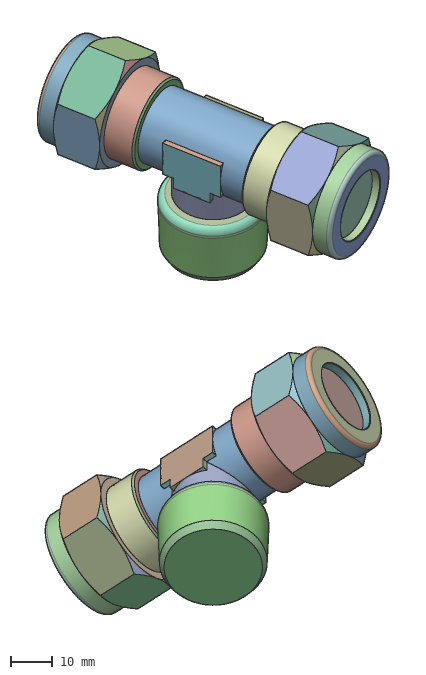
import cadquery as cq
import math

run_length = 82.0
tube_radius = 10.0
shoulder_radius = 12.0
shoulder_end = 14.9
shoulder_chamfer = 0.5

nut_sides = 6
nut_flats = 28.0
nut_inner_end = 23.2
nut_collar_length = 4.9
nut_collar_fillet = 1.1
nut_chamfer_angle = 30.0
recess_radius = 9.1
recess_depth = 2.2
recess_mouth_chamfer = 0.2

branch_end = 32.55
plug_top = 14.6
plug_radius = 13.3
plug_rim_inner_radius = 11.6
plug_top_drop = 0.4
plug_rim_height = 1.9
plug_band_height = 0.7
plug_taper = 1 / 32
plug_end_chamfer_length = 2.0
plug_end_radius = 11.7

pad_width = 16.1
pad_half_height = 5.0
pad_stem_width = 10.2
pad_stem_bottom = 8.1


def run_cylinder(radius, start, end):
    """Cylinder on the X axis between two positions."""
    return cq.Workplane("YZ", origin=(start, 0, 0)).circle(radius).extrude(end - start)


def make_shoulder():
    """Thicker ring on the +X side, between the tube and the nut."""
    shoulder = run_cylinder(shoulder_radius, shoulder_end, nut_inner_end)
    return shoulder.faces("<X").chamfer(shoulder_chamfer)


def make_nut():
    """Nut on the +X end: a hexagon with both ends turned conical, and a round collar."""
    nut_outer_end = run_length / 2 - nut_collar_length
    flat_radius = nut_flats / 2
    half_side_angle = 180 / nut_sides
    corner_radius = flat_radius / math.cos(math.radians(half_side_angle))
    chamfer_length = (corner_radius - flat_radius) * math.tan(math.radians(nut_chamfer_angle))
    hexagon = (
        cq.Workplane("YZ", origin=(nut_inner_end, 0, 0))
        .polygon(nut_sides, 2 * corner_radius)
        .extrude(nut_outer_end - nut_inner_end)
        .rotate((0, 0, 0), (1, 0, 0), half_side_angle)
    )
    turned_blank = (
        cq.Workplane("XY")
        .moveTo(nut_inner_end, 0)
        .lineTo(nut_inner_end, flat_radius)
        .lineTo(nut_inner_end + chamfer_length, corner_radius)
        .lineTo(nut_outer_end - chamfer_length, corner_radius)
        .lineTo(nut_outer_end, flat_radius)
        .lineTo(nut_outer_end, 0)
        .close()
        .revolve(360, (0, 0, 0), (1, 0, 0))
    )
    collar = run_cylinder(flat_radius, nut_inner_end + chamfer_length, run_length / 2)
    collar = collar.faces(">X").edges().fillet(nut_collar_fillet)
    return hexagon.intersect(turned_blank).union(collar)


def make_recess():
    """Shallow recess in the +X end, with a fine chamfer around its mouth."""
    end = run_length / 2
    return (
        cq.Workplane("XY")
        .moveTo(end, 0)
        .lineTo(end, recess_radius + recess_mouth_chamfer)
        .lineTo(end - recess_mouth_chamfer, recess_radius)
        .lineTo(end - recess_depth, recess_radius)
        .lineTo(end - recess_depth, 0)
        .close()
        .revolve(360, (0, 0, 0), (1, 0, 0))
    )


def make_branch():
    """Branch tube and plug, turned about the Z axis."""
    rim_top = -plug_top - plug_top_drop
    rim_bottom = rim_top - plug_rim_height
    band_bottom = rim_bottom - plug_band_height
    taper_bottom = -branch_end + plug_end_chamfer_length
    taper_end_radius = plug_radius - plug_taper * (band_bottom - taper_bottom)
    return (
        cq.Workplane("XZ")
        .moveTo(0, 0)
        .lineTo(tube_radius, 0)
        .lineTo(tube_radius, -plug_top)
        .lineTo(plug_rim_inner_radius, rim_top)
        .tangentArcPoint((plug_radius, rim_bottom), relative=False)
        .lineTo(plug_radius, band_bottom)
        .lineTo(taper_end_radius, taper_bottom)
        .lineTo(plug_end_radius, -branch_end)
        .lineTo(0, -branch_end)
        .close()
        .revolve(360, (0, 0, 0), (0, 1, 0))
    )


def make_pads():
    """T-shaped block through the body, flush with the sides of the tube."""
    thickness = 2 * tube_radius
    head = cq.Workplane("XY").box(pad_width, thickness, 2 * pad_half_height)
    stem = (
        cq.Workplane("XY")
        .box(pad_stem_width, thickness, pad_stem_bottom, centered=(True, True, False))
        .translate((0, 0, -pad_stem_bottom))
    )
    return head.union(stem)


body = run_cylinder(tube_radius, -nut_inner_end, nut_inner_end)
body = body.union(make_branch()).union(make_pads())

run_end = make_shoulder().union(make_nut()).cut(make_recess())
result = body.union(run_end).union(run_end.mirror("YZ"))